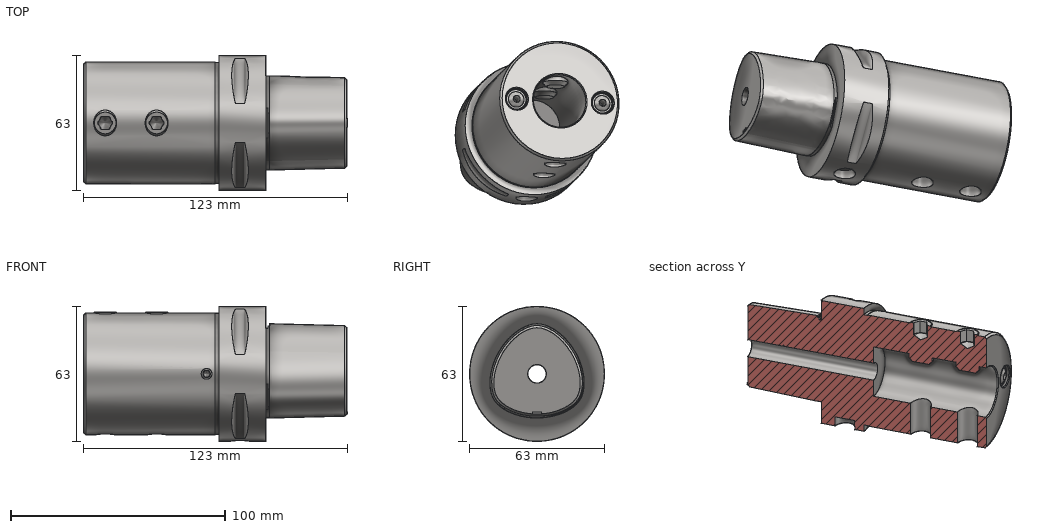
import cadquery as cq
import math

body_dia = 57.0
body_end = 61.2
body_chamfer = 1.0
relief_dia = 56.6
flange_start = 63.0
flange_end = 85.0
flange_dia = 63.0

shank_mean_dia = 44.0
lobe_amplitude = 1.4
lobe_count = 3
lobe_pitch = 360 / lobe_count
first_flat_angle = 30
curve_steps = 24
shank_taper = 1 / 20
taper_start = 87.9
shank_end = 122.7
shank_chamfer = 1.0
part_length = 123.0

neck_end = 86.65
neck_flats = ((neck_end, 22.4), (85.9, 21.35))
neck_mean_dia = 43.9

mark_width = 4.0
mark_height = 0.8
mark_z = -18.2
mark_depth = 1.0

bore_dia = 25.0
bore_mouth_dia = 26.0
bore_depth = 58.0
coolant_hole_dia = 8.5

clamp_positions = (10.0, 34.0)
clamp_dia = 12.0
clamp_top_dia = 10.11
clamp_tip_dia = 8.5
clamp_top = 28.8
clamp_length = 20.0
clamp_hex = 6.0
clamp_hex_depth = 6.0
relief_hole_dia = 10.0

drill_point_angle = 120

plug_x = 57.3
plug_dia = 5.0
plug_recess = 0.3
plug_hex = 3.0
plug_hex_depth = 2.5

nozzle_offset = 20.5
nozzle_mouth_dia = 11.0
nozzle_seat_dia = 10.11
nozzle_face_dia = 9.3
nozzle_face_depth = 1.5
nozzle_ball_dia = 10.0
nozzle_ball_base_dia = 7.4
nozzle_hole_dia = 3.24
nozzle_hole_depth = 8.0

groove_x = 72.9
groove_floor_radius = 27.75
groove_floor_width = 4.35
groove_mouth_width = 7.8
groove_foot_radius = 0.6
groove_overrun = 1.0
groove_angles = (45, 135, 225, 315)

chip_x = groove_x
chip_dia = 10.0
chip_depth = 4.6


def disc(dia, start, end):
    """Cylinder on the part axis between two X positions."""
    return cq.Workplane("YZ").workplane(offset=start).circle(dia / 2).extrude(end - start)


def lobe_point(mean_dia, angle):
    """Point on the constant-width curve with lobes at 90, 210 and 330 degrees."""
    turn = angle - math.pi / 2
    support = mean_dia / 2 + lobe_amplitude * math.cos(lobe_count * turn)
    slope = -lobe_count * lobe_amplitude * math.sin(lobe_count * turn)
    y = support * math.cos(angle) - slope * math.sin(angle)
    z = support * math.sin(angle) + slope * math.cos(angle)
    return y, z


def lobed_section(x, mean_dia):
    """Closed lobed outline at one X position; its three curves meet at the middles of the flats."""
    edges = []
    for side in range(lobe_count):
        start = first_flat_angle + lobe_pitch * side
        angles = [math.radians(start + lobe_pitch * step / curve_steps) for step in range(curve_steps + 1)]
        points = [cq.Vector(x, *lobe_point(mean_dia, angle)) for angle in angles]
        tangents = [cq.Vector(0, -math.sin(angle), math.cos(angle)) for angle in (angles[0], angles[-1])]
        edges.append(cq.Edge.makeSpline(points, tangents=tangents))
    return cq.Wire.assembleEdges(edges)


def lobed_loft(start, start_dia, end, end_dia):
    """Solid between two lobed sections."""
    sections = [lobed_section(start, start_dia), lobed_section(end, end_dia)]
    return cq.Workplane(obj=cq.Solid.makeLoft(sections, True))


def make_shank():
    end_dia = shank_mean_dia - shank_taper * (shank_end - taper_start)
    chamfer_start = shank_end - shank_chamfer
    chamfer_dia = shank_mean_dia - shank_taper * (chamfer_start - taper_start)
    shank = lobed_loft(flange_end, neck_mean_dia, neck_end, neck_mean_dia)
    shank = shank.union(lobed_loft(neck_end, shank_mean_dia, taper_start, shank_mean_dia))
    shank = shank.union(lobed_loft(taper_start, shank_mean_dia, chamfer_start, chamfer_dia))
    shank = shank.union(lobed_loft(chamfer_start, chamfer_dia, shank_end, end_dia - 2 * shank_chamfer))
    for step_end, distance in neck_flats:
        step_size = (step_end - flange_end, flange_dia, flange_dia)
        step = cq.Workplane("XY").box(*step_size, centered=(False, True, False))
        for lobe in range(lobe_count):
            placed_step = step.translate((flange_end, 0, distance))
            shank = shank.cut(placed_step.rotate((0, 0, 0), (1, 0, 0), lobe * lobe_pitch))
    mark = cq.Workplane("XY").box(mark_depth, mark_width, mark_height)
    return shank.union(mark.translate((part_length - mark_depth / 2, 0, mark_z)))


def make_groove():
    depth = flange_dia / 2 - groove_floor_radius
    slope = (groove_mouth_width - groove_floor_width) / 2 / depth
    top = flange_dia / 2 + groove_overrun
    floor_half = groove_floor_width / 2
    top_half = floor_half + slope * (top - groove_floor_radius)
    outline = [
        (groove_x - floor_half, groove_floor_radius),
        (groove_x + floor_half, groove_floor_radius),
        (groove_x + top_half, top),
        (groove_x - top_half, top),
    ]
    groove = cq.Workplane("XZ").polyline(outline).close().extrude(flange_dia / 2, both=True)
    return groove.faces("<Z").edges("|Y").fillet(groove_foot_radius)


def hex_socket(width, depth):
    """Socket going down from Z = 0, with a drill point; corners along X."""
    corner_dia = width / math.cos(math.pi / 6)
    point = corner_dia / 2 / math.tan(math.radians(drill_point_angle / 2))
    socket = cq.Workplane("XY").polygon(6, corner_dia).extrude(-depth)
    cone = cq.Solid.makeCone(corner_dia / 2, 0, point, pnt=(0, 0, -depth), dir=(0, 0, -1))
    return socket.union(cq.Workplane(obj=cone))


def make_clamp_screw():
    """Set screw body with its top face at Z = 0 and 45 degree chamfers at both ends."""
    top_chamfer = (clamp_dia - clamp_top_dia) / 2
    tip_chamfer = (clamp_dia - clamp_tip_dia) / 2
    outline = [
        (0, 0),
        (clamp_top_dia / 2, 0),
        (clamp_dia / 2, -top_chamfer),
        (clamp_dia / 2, tip_chamfer - clamp_length),
        (clamp_tip_dia / 2, -clamp_length),
        (0, -clamp_length),
    ]
    return cq.Workplane("XZ").polyline(outline).close().revolve(360, (0, 0), (0, 1))


def make_nozzle_cut():
    """Material removed from the front face around a ball nozzle, on the X axis."""
    mouth_depth = (nozzle_mouth_dia - nozzle_seat_dia) / 2
    rim_depth = nozzle_face_depth + (nozzle_seat_dia - nozzle_face_dia) / 2
    outline = [
        (0, 0),
        (0, nozzle_mouth_dia / 2),
        (mouth_depth, nozzle_seat_dia / 2),
        (rim_depth, nozzle_seat_dia / 2),
        (nozzle_face_depth, nozzle_face_dia / 2),
        (nozzle_face_depth, 0),
    ]
    cut = cq.Workplane("XY").polyline(outline).close().revolve(360, (0, 0), (1, 0))
    ball_x = nozzle_face_depth + math.sqrt(nozzle_ball_dia**2 - nozzle_ball_base_dia**2) / 2
    ball = cq.Workplane("XY").sphere(nozzle_ball_dia / 2).translate((ball_x, 0, 0))
    return cut.cut(ball).union(disc(nozzle_hole_dia, 0, nozzle_hole_depth))


def make_plug_cut():
    """Recess of the plug screw, going down from Z = 0."""
    recess = cq.Workplane("XY").circle(plug_dia / 2).extrude(-plug_recess)
    return recess.union(hex_socket(plug_hex, plug_hex_depth))


result = disc(body_dia, 0, body_end).faces("<X").chamfer(body_chamfer)
result = result.union(disc(relief_dia, body_end, flange_start))
result = result.union(disc(flange_dia, flange_start, flange_end))
result = result.union(make_shank())

mouth_chamfer = (bore_mouth_dia - bore_dia) / 2
bore = disc(bore_dia, 0, bore_depth)
mouth = cq.Solid.makeCone(bore_mouth_dia / 2, bore_dia / 2, mouth_chamfer, dir=(1, 0, 0))
result = result.cut(bore).cut(cq.Workplane(obj=mouth))
result = result.cut(disc(coolant_hole_dia, 0, part_length))

clamp_screw = make_clamp_screw()
clamp_socket = hex_socket(clamp_hex, clamp_hex_depth)
for x in clamp_positions:
    relief_hole = cq.Workplane("XY").circle(relief_hole_dia / 2).extrude(-body_dia)
    result = result.cut(relief_hole.translate((x, 0, 0)))
    result = result.union(clamp_screw.translate((x, 0, clamp_top)))
    result = result.cut(clamp_socket.translate((x, 0, clamp_top)))

plug_cut = make_plug_cut().rotate((0, 0, 0), (1, 0, 0), 90)
result = result.cut(plug_cut.translate((plug_x, -body_dia / 2, 0)))

nozzle_cut = make_nozzle_cut()
for side in (-1, 1):
    result = result.cut(nozzle_cut.translate((0, side * nozzle_offset, 0)))

groove = make_groove()
for angle in groove_angles:
    result = result.cut(groove.rotate((0, 0, 0), (1, 0, 0), angle))

chip_pocket = cq.Workplane("XY").circle(chip_dia / 2).extrude(chip_depth)
result = result.cut(chip_pocket.translate((chip_x, 0, -flange_dia / 2)))